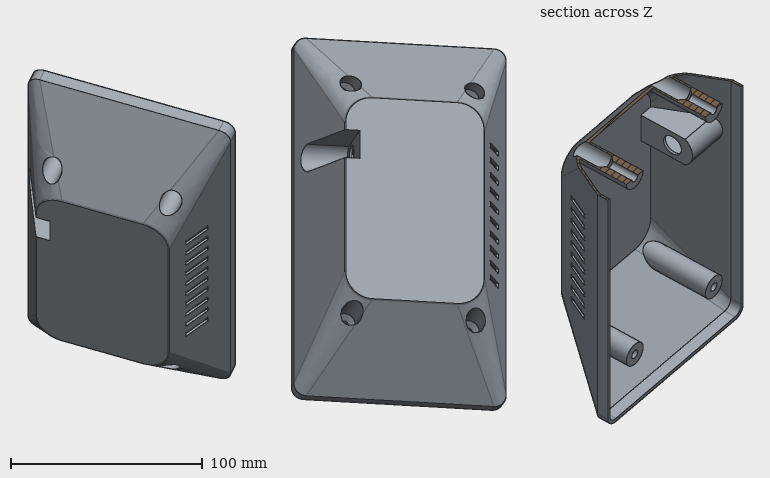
import math

import cadquery as cq

BASE_WIDTH = 113.0
BASE_HEIGHT = 195.0
BASE_CORNER_RADIUS = 6.5
DEPTH = 47.0
RIM_DEPTH = 7.0
FRONT_WIDTH = 74.5
FRONT_HEIGHT = 110.5
FRONT_CORNER_RADIUS = 14.5
FRONT_BEVEL = 0.5
FRONT_EDGE_DEPTH = DEPTH - FRONT_BEVEL

WALL = 1.5
INNER_BASE_RADIUS = BASE_CORNER_RADIUS - WALL
INNER_FRONT_RADIUS = FRONT_CORNER_RADIUS - WALL

SCREW_SPACING_X = 66.0
SCREW_SPACING_Z = 126.0
SCREW_CENTER_X = 1.0
SCREW_CENTER_Z = 2.0
SCREW_DIAMETER = 5.0
SCREW_HEAD_DIAMETER = 11.0
SCREW_HEAD_FLOOR = 20.0
SCREW_CONE_DEPTH = (SCREW_HEAD_DIAMETER - SCREW_DIAMETER) / 2
POST_DIAMETER = SCREW_HEAD_DIAMETER + 2 * WALL

RECESS_WIDTH = 15.2
RECESS_Z = 29.0
RECESS_FLOOR_DEPTH = 12.4
RECESS_FLOOR_RISE = 4.9
RECESS_END_X = -29.3
CABLE_HOLE_DIAMETER = 12.0
CABLE_HOLE_DEPTH = 24.3

VENT_COUNT = 10
VENT_PITCH = 8.0
VENT_HEIGHT = 2.5
VENT_INNER_X = 42.5
VENT_OUTER_X = 49.4
VENT_CUT = 4 * WALL

TAPER_DEPTH = FRONT_EDGE_DEPTH - RIM_DEPTH
SLOPE_X = (BASE_WIDTH - FRONT_WIDTH) / 2 / TAPER_DEPTH
SLOPE_Z = (BASE_HEIGHT - FRONT_HEIGHT) / 2 / TAPER_DEPTH


def at_depth(depth):
    """Workplane parallel to XZ, facing the front, at a distance from the back plane."""
    return cq.Workplane("XZ", origin=(0, -depth, 0))


def rounded_rectangle(width, height, radius):
    return cq.Sketch().rect(width, height).vertices().fillet(radius)


def lofted_body(sections):
    """Straight rim, then a ruled loft between sections given as (depth, width, height, radius)."""
    body = at_depth(0).placeSketch(rounded_rectangle(*sections[0][1:])).extrude(RIM_DEPTH)
    for near, far in zip(sections, sections[1:]):
        near_outline = rounded_rectangle(*near[1:])
        far_outline = rounded_rectangle(*far[1:])
        raised_outline = far_outline.moved(cq.Location(cq.Vector(0, 0, far[0] - near[0])))
        body = body.union(at_depth(near[0]).placeSketch(near_outline, raised_outline).loft(ruled=True))
    return body


def outer_body():
    """Rim, sloping sides and the narrow bevel around the front face."""
    base = (RIM_DEPTH, BASE_WIDTH, BASE_HEIGHT, BASE_CORNER_RADIUS)
    edge = (FRONT_EDGE_DEPTH, FRONT_WIDTH, FRONT_HEIGHT, FRONT_CORNER_RADIUS)
    face = (
        DEPTH,
        FRONT_WIDTH - 2 * FRONT_BEVEL,
        FRONT_HEIGHT - 2 * FRONT_BEVEL,
        FRONT_CORNER_RADIUS - FRONT_BEVEL,
    )
    return lofted_body([base, edge, face])


def cavity():
    """Interior whose sloping and front faces lie one wall thickness inside the outer ones."""
    inset_x = WALL * math.hypot(1, SLOPE_X)
    inset_z = WALL * math.hypot(1, SLOPE_Z)
    ceiling_depth = DEPTH - WALL
    ceiling_gap = FRONT_EDGE_DEPTH - ceiling_depth
    base = (RIM_DEPTH, BASE_WIDTH - 2 * inset_x, BASE_HEIGHT - 2 * inset_z, INNER_BASE_RADIUS)
    ceiling = (
        ceiling_depth,
        FRONT_WIDTH + 2 * (SLOPE_X * ceiling_gap - inset_x),
        FRONT_HEIGHT + 2 * (SLOPE_Z * ceiling_gap - inset_z),
        INNER_FRONT_RADIUS,
    )
    return lofted_body([base, ceiling])


def screw_positions():
    return [
        (SCREW_CENTER_X + side_x * SCREW_SPACING_X / 2, SCREW_CENTER_Z + side_z * SCREW_SPACING_Z / 2)
        for side_x in (-1, 1)
        for side_z in (-1, 1)
    ]


def screw_posts():
    return at_depth(0).pushPoints(screw_positions()).circle(POST_DIAMETER / 2).extrude(DEPTH)


def screw_hole(x, z):
    """Through hole, conical seat and head clearance, revolved about an axis along Y."""
    hole_radius = SCREW_DIAMETER / 2
    head_radius = SCREW_HEAD_DIAMETER / 2
    return (
        cq.Workplane("XY", origin=(x, 0, z))
        .lineTo(hole_radius, 0)
        .lineTo(hole_radius, SCREW_CONE_DEPTH - SCREW_HEAD_FLOOR)
        .lineTo(head_radius, -SCREW_HEAD_FLOOR)
        .lineTo(head_radius, -DEPTH)
        .lineTo(0, -DEPTH)
        .close()
        .revolve(360, (0, 0), (0, 1))
    )


def recess_block(margin):
    """Arc-bottomed channel along X, open to the front, its walls moved outward by a margin."""
    half_width = RECESS_WIDTH / 2 + margin
    floor_y = margin - RECESS_FLOOR_DEPTH
    side_y = floor_y - RECESS_FLOOR_RISE
    length = BASE_WIDTH / 2 + RECESS_END_X + margin
    return (
        cq.Workplane("YZ", origin=(-BASE_WIDTH / 2, 0, RECESS_Z))
        .moveTo(-DEPTH, -half_width)
        .lineTo(side_y, -half_width)
        .threePointArc((floor_y, 0), (side_y, half_width))
        .lineTo(-DEPTH, half_width)
        .close()
        .extrude(length)
    )


def cable_hole():
    return (
        cq.Workplane("YZ", origin=(RECESS_END_X, -CABLE_HOLE_DEPTH, RECESS_Z))
        .circle(CABLE_HOLE_DIAMETER / 2)
        .extrude(2 * WALL)
    )


def vents():
    """Slots cut along the normal of the +X side wall."""
    middle_x = (VENT_INNER_X + VENT_OUTER_X) / 2
    middle_depth = RIM_DEPTH + (BASE_WIDTH / 2 - middle_x) / SLOPE_X
    length = (VENT_OUTER_X - VENT_INNER_X) * math.hypot(1, 1 / SLOPE_X)
    wall_plane = cq.Plane(origin=(middle_x, -middle_depth, 0), xDir=(0, 0, 1), normal=(1, -SLOPE_X, 0))
    return (
        cq.Workplane(wall_plane)
        .rarray(VENT_PITCH, 1, VENT_COUNT, 1)
        .rect(VENT_HEIGHT, length)
        .extrude(VENT_CUT / 2, both=True)
    )


outside = outer_body()
inner_supports = screw_posts().union(recess_block(WALL)).intersect(outside)
result = outside.cut(cavity().cut(inner_supports))
for screw_x, screw_z in screw_positions():
    result = result.cut(screw_hole(screw_x, screw_z))
result = result.cut(recess_block(0)).cut(cable_hole()).cut(vents())